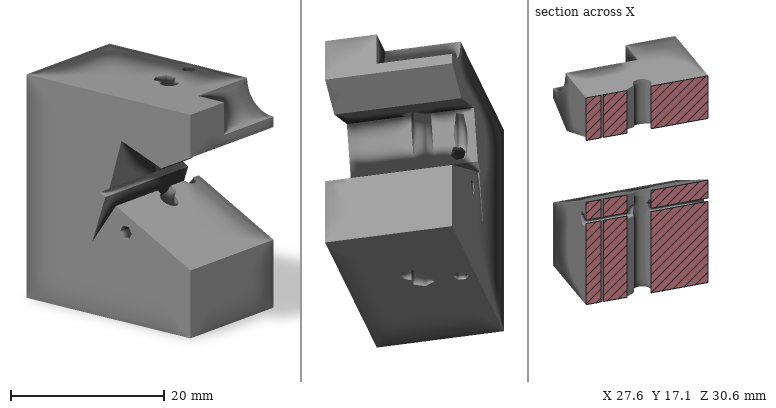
import cadquery as cq

length = 27.6
depth = 17.1
height = 30.58

upper_lip_height = 24.7
lower_lip_height = 9.3
jaw_ridge = (22.7, 22.25)
jaw_roof = (16.0, 24.68)
jaw_back = (13.95, 17.75)
nick_tip = (12.4, 16.95)
nick_base = (13.27, 16.45)
slit_tip = (11.05, 9.85)
wedge_peak = (15.05, 15.6)

relief_front = 6.95
relief_radius = 4.43

hex_hole_diameter = 2.0
front_hole = (16.73, 12.25)
top_hole = (14.98, 15.1)
side_hole = (14.55, 19.17)
top_hole_turn = 34.0
side_hole_turn = 12.0

key_hex_diameter = 3.15
key_hex_center = (15.2, 9.95)
key_round_diameter = 2.45
key_round_center = (16.82, 8.8)


def hex_cutter(plane, center, diameter, turn, reach):
    """Hexagonal prism; the diameter is measured across corners."""
    return (
        cq.Workplane(plane)
        .center(*center)
        .transformed(rotate=(0, 0, turn))
        .polygon(6, diameter)
        .extrude(reach)
    )


def jaw_cutter():
    return (
        cq.Workplane("XZ")
        .moveTo(length, upper_lip_height)
        .polyline(
            [jaw_ridge, jaw_roof, jaw_back, nick_tip, nick_base, slit_tip, wedge_peak,
             (length, lower_lip_height)],
            includeCurrent=True,
        )
        .close()
        .extrude(-depth)
    )


def relief_cutter():
    """Cylinder about the top edge of the +X side, cutting only the rear."""
    return (
        cq.Workplane("XZ", origin=(0, relief_front, 0))
        .center(length, height)
        .circle(relief_radius)
        .extrude(relief_front - depth)
    )


result = cq.Workplane("XY").box(length, depth, height, centered=False)
result = result.cut(jaw_cutter())
result = result.cut(relief_cutter())
result = result.cut(hex_cutter("XZ", front_hole, hex_hole_diameter, 0, -depth))
result = result.cut(hex_cutter("XY", top_hole, hex_hole_diameter, top_hole_turn, height))
result = result.cut(hex_cutter("YZ", side_hole, hex_hole_diameter, side_hole_turn, length))
result = result.cut(hex_cutter("XY", key_hex_center, key_hex_diameter, 0, height))
key_round = (
    cq.Workplane("XY")
    .center(*key_round_center)
    .circle(key_round_diameter / 2)
    .extrude(height)
)
result = result.cut(key_round)